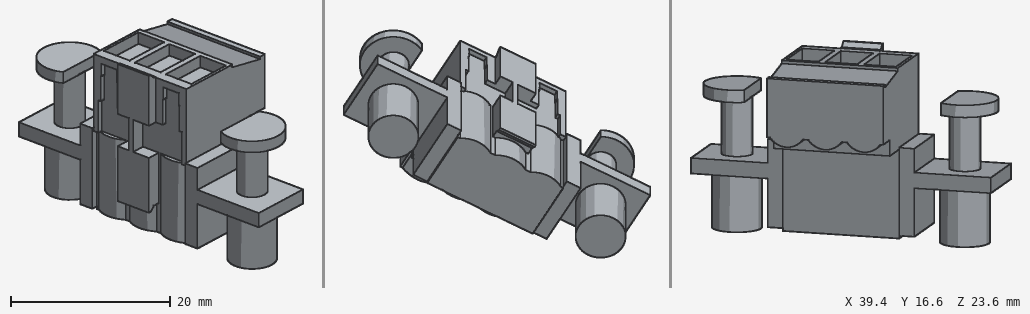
import cadquery as cq
import math


pole_count = 3
pitch = 5.07
housing_width = pole_count * pitch
housing_front = -4.1
housing_rear = 11.2
housing_bottom = 0.85
housing_top = 22.9

ledge_bottom = 12.3
entry_bottom = 14.35
entry_front = 8.25
entry_drop = 1.1
ridge_top = 21.9
ridge_front = 10.25
slope_low = 21.55
slope_high = 22.5
slope_front = 4.88

recess_depth = 0.63
recess_floor = housing_front + recess_depth
recess_bottom = 12.08
recess_shoulder = 16.6
neck_step = 20.15
recess_top = 21.9
neck_width_low = 2.7
neck_width_high = 2.5
recess_outer = 6.8
web_left = -0.8
web_right = -0.05
column_chord = 4.35

pocket_width = 4.2
pocket_front = -2.6
pocket_length = 6.73
pocket_depth = 1.6

latch_width = 5.1
latch_front = -5.4
latch_bottom = 4.35
latch_top = 23.6
latch_lip = 0.35
latch_bevel = 0.63

overall_length = 39.35
flange_depth = 8.65
bracket_thickness = 2.0
bracket_bottom = 1.2
bracket_top = 12.55
plate_bottom = 7.47
plate_top = 9.5

screw_x = 14.95
sleeve_radius = 3.15
stem_radius = 1.95
head_radius = 4.2
head_bottom = 16.9
head_top = 18.5
head_flat = 2.05

pole_positions = [(i - (pole_count - 1) / 2) * pitch for i in range(pole_count)]
flange_rear = flange_depth / 2


def box(x_range, y_range, z_range):
    """Axis-aligned block between pairs of limits."""
    (x0, x1), (y0, y1), (z0, z1) = x_range, y_range, z_range
    return cq.Workplane("XY").box(x1 - x0, y1 - y0, z1 - z0, centered=False).translate((x0, y0, z0))


def centred(width, middle=0.0):
    """Limits of a span of the given width about its middle."""
    return (middle - width / 2, middle + width / 2)


def extrude_side_profile(points, width):
    """Prism along X, centred on X = 0, from an outline of (Y, Z) points."""
    return cq.Workplane("YZ").polyline(points).close().extrude(width / 2, both=True)


def make_housing_shell():
    """Stepped side profile of the housing, with the lower front face set back."""
    outline = [
        (recess_floor, housing_bottom),
        (recess_floor, recess_bottom),
        (housing_front, recess_bottom),
        (housing_front, housing_top),
        (slope_front, housing_top),
        (slope_front, slope_high),
        (ridge_front, slope_low),
        (ridge_front, ridge_top),
        (housing_rear, ridge_top),
        (housing_rear, entry_bottom),
        (entry_front, entry_bottom),
        (entry_front, ledge_bottom),
        (flange_rear, ledge_bottom),
        (flange_rear, housing_bottom),
    ]
    return extrude_side_profile(outline, housing_width)


def make_contact_column(x):
    """Round-fronted column standing out from the set-back lower front face."""
    half = column_chord / 2
    return (
        cq.Workplane("XY", origin=(x, 0, housing_bottom))
        .moveTo(-half, 0)
        .lineTo(-half, recess_floor)
        .threePointArc((0, housing_front), (half, recess_floor))
        .lineTo(half, 0)
        .close()
        .extrude(recess_bottom - housing_bottom)
    )


def make_wire_entry(x):
    """Arched underside of one wire entry, below the rear of the housing."""
    half = column_chord / 2
    return (
        cq.Workplane("XZ", origin=(x, housing_rear, entry_bottom))
        .moveTo(-half, 0)
        .threePointArc((0, -entry_drop), (half, 0))
        .close()
        .extrude(housing_rear - entry_front)
    )


def make_recess(x, lower_range):
    """Front recess: a wide lower part, cut through the latch, and a stepped neck centred on the pole."""
    depth = (housing_front, recess_floor)
    lower = box(lower_range, (latch_front, recess_floor), (recess_bottom, recess_shoulder))
    neck = box(centred(neck_width_low, x), depth, (recess_shoulder, neck_step))
    tip = box(centred(neck_width_high, x), depth, (neck_step, recess_top))
    return lower.union(neck).union(tip)


def make_latch():
    """Latch bar on the housing front, bevelled at both ends and reaching back to the lower face."""
    bevel_front = latch_front + latch_lip
    bevel_rear = bevel_front + latch_bevel
    outline = [
        (recess_floor, latch_bottom + latch_bevel),
        (bevel_rear, latch_bottom + latch_bevel),
        (bevel_front, latch_bottom),
        (latch_front, latch_bottom),
        (latch_front, latch_top),
        (bevel_front, latch_top),
        (bevel_rear, latch_top - latch_bevel),
        (housing_front, latch_top - latch_bevel),
        (housing_front, recess_bottom),
        (recess_floor, recess_bottom),
    ]
    return extrude_side_profile(outline, latch_width)


def make_pocket(x):
    """Blind rectangular pocket in the top of the housing."""
    y_range = (pocket_front, pocket_front + pocket_length)
    return box(centred(pocket_width, x), y_range, (housing_top - pocket_depth, housing_top))


def make_housing():
    """Housing and latch in one piece; the two recesses leave a narrow web across the latch."""
    housing = make_housing_shell().union(make_latch())
    for x in pole_positions:
        housing = housing.union(make_contact_column(x)).union(make_wire_entry(x))
        housing = housing.cut(make_pocket(x))
    housing = housing.cut(make_recess(pole_positions[0], (-recess_outer, web_left)))
    return housing.cut(make_recess(pole_positions[-1], (web_right, recess_outer)))


def on_side(body, side):
    """The body as built for the +X end, or its mirror image for the -X end; side is 1 or -1."""
    return body if side > 0 else body.mirror("YZ")


def make_cylinder(radius, bottom, top):
    """Upright cylinder on the axis of the +X flange screw."""
    return cq.Workplane("XY", origin=(screw_x, 0, bottom)).circle(radius).extrude(top - bottom)


def make_flange(side):
    """Bracket against one end of the housing with a plate standing out from it."""
    depth = centred(flange_depth)
    inner = housing_width / 2
    bracket = box((inner, inner + bracket_thickness), depth, (bracket_bottom, bracket_top))
    plate = box((inner, overall_length / 2), depth, (plate_bottom, plate_top))
    return on_side(bracket.union(plate), side)


def make_sleeve(side):
    """Sleeve below the flange plate."""
    return on_side(make_cylinder(sleeve_radius, 0, plate_bottom), side)


def make_stem(side):
    """Screw stem from the flange plate up to the head."""
    return on_side(make_cylinder(stem_radius, plate_top, head_bottom), side)


def make_head(side):
    """D-shaped screw head with its flat facing the housing."""
    half_flat = math.sqrt(head_radius**2 - head_flat**2)
    head = (
        cq.Workplane("XY", origin=(screw_x, 0, head_bottom))
        .moveTo(-head_flat, half_flat)
        .threePointArc((head_radius, 0), (-head_flat, -half_flat))
        .close()
        .extrude(head_top - head_bottom)
    )
    return on_side(head, side)


housing = make_housing()
flanges = [make_flange(side) for side in (-1, 1)]
sleeves = [make_sleeve(side) for side in (-1, 1)]
stems = [make_stem(side) for side in (-1, 1)]
heads = [make_head(side) for side in (-1, 1)]

bodies = [housing, *flanges, *sleeves, *stems, *heads]
result = cq.Compound.makeCompound([body.val() for body in bodies])